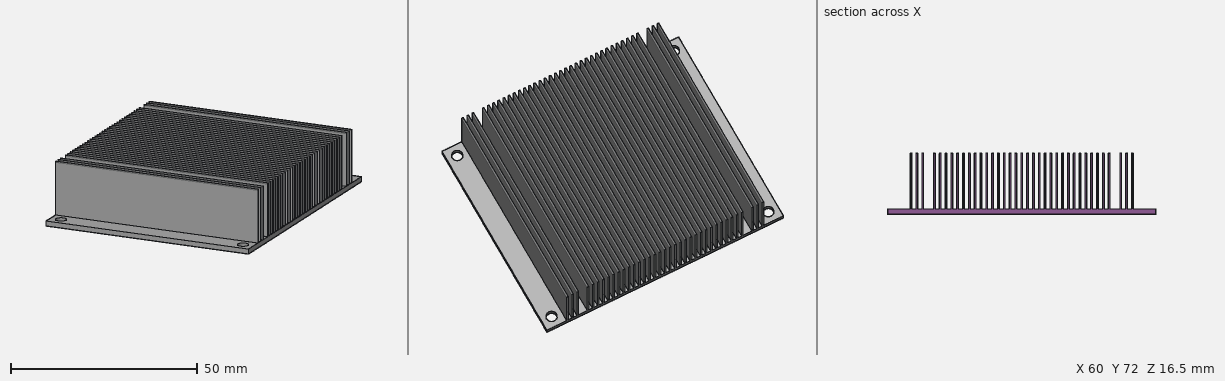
import cadquery as cq

BASE_WIDTH = 60.0
BASE_LENGTH = 72.0
BASE_THICKNESS = 1.45
TOTAL_HEIGHT = 16.5

HOLE_DIAMETER = 3.0
HOLE_INSET = 3.0

FIN_THICKNESS = 0.5
FIN_FIELD_LENGTH = 60.0
STATION_COUNT = 39
OUTER_GROUP_SIZE = 3
TIP_RADIUS = 0.2

FIN_PITCH = (FIN_FIELD_LENGTH - FIN_THICKNESS) / (STATION_COUNT - 1)
EMPTY_STATIONS = (OUTER_GROUP_SIZE, STATION_COUNT - 1 - OUTER_GROUP_SIZE)


def make_base():
    """Flat plate with a through hole in each corner, underside at Z = 0."""
    return (
        cq.Workplane("XY")
        .box(BASE_WIDTH, BASE_LENGTH, BASE_THICKNESS, centered=(True, True, False))
        .faces(">Z")
        .workplane()
        .rect(BASE_WIDTH - 2 * HOLE_INSET, BASE_LENGTH - 2 * HOLE_INSET, forConstruction=True)
        .vertices()
        .hole(HOLE_DIAMETER)
    )


def make_fins():
    """Full-width fins with rounded tips, reaching down through the base to fuse with it."""
    stations = [i for i in range(STATION_COUNT) if i not in EMPTY_STATIONS]
    middle_station = (STATION_COUNT - 1) / 2
    centers = [(0, (i - middle_station) * FIN_PITCH) for i in stations]
    return (
        cq.Workplane("XY")
        .pushPoints(centers)
        .rect(BASE_WIDTH, FIN_THICKNESS)
        .extrude(TOTAL_HEIGHT)
        .faces(">Z")
        .edges("|X")
        .fillet(TIP_RADIUS)
    )


result = make_base().union(make_fins())